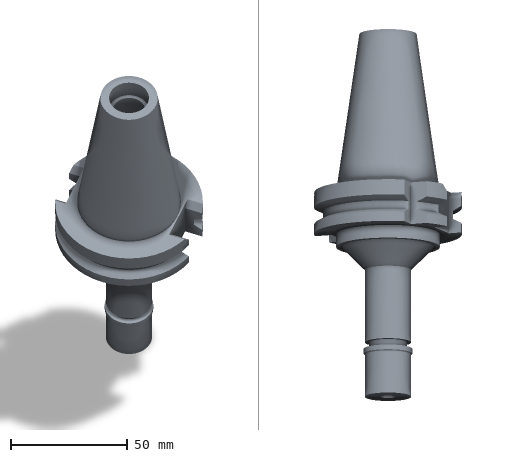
import cadquery as cq

TOTAL_HEIGHT = 158.4

TAPER_BASE_DIAMETER = 44.5
TAPER_BASE_RADIUS = TAPER_BASE_DIAMETER / 2
TAPER_TOP_RADIUS = 12.4
TAPER_BASE_Z = 90.1

FLANGE_DIAMETER = 63.5
FLANGE_RADIUS = FLANGE_DIAMETER / 2
FLANGE_BOTTOM_Z = 71.0
FLANGE_TOP_Z = 89.2
GROOVE_RADIUS = 28.0
GROOVE_FLOOR_BOTTOM_Z = 77.1
GROOVE_FLOOR_TOP_Z = 80.6
GROOVE_FLARE = 1.9
KEYSLOT_WIDTH = 15.8
KEYSLOT_CHAMFER = 2.9
KEYSLOT_LEFT_FLOOR = 25.0
KEYSLOT_RIGHT_FLOOR = 22.8
NOTCH_X = 18.4
NOTCH_Y = 18.5

COLLAR_BOTTOM_Z = 65.4
CONE_TOP_RADIUS = 19.8
SHAFT_RADIUS = 10.0
SHAFT_TOP_Z = 55.5
SHAFT_BOTTOM_Z = 23.8
NOSE_RADIUS = 8.0

COUNTERBORE_RADIUS = 8.5
COUNTERBORE_DEPTH = 8.2
DRAWBAR_BORE_RADIUS = 7.0
DRAWBAR_BORE_DEPTH = 42.8
COOLANT_BORE_RADIUS = 3.2

NUT_HEIGHT = 20.9
NUT_RADIUS = SHAFT_RADIUS
NUT_RIM_RADIUS = 10.5
NUT_RIM_HEIGHT = 2.5
NUT_LIP = 3.2

COLLET_RADIUS = 5.0
COLLET_LENGTH = 25.0
COLLET_BORE_RADIUS = 3.0


def cylinder(radius, bottom_z, top_z):
    """Upright cylinder on the Z axis."""
    return cq.Workplane("XY").workplane(offset=bottom_z).circle(radius).extrude(top_z - bottom_z)


def holder_blank():
    """Turned outside of the holder, solid inside."""
    profile = [
        (0, NUT_LIP),
        (NOSE_RADIUS, NUT_LIP),
        (NOSE_RADIUS, SHAFT_BOTTOM_Z),
        (SHAFT_RADIUS, SHAFT_BOTTOM_Z),
        (SHAFT_RADIUS, SHAFT_TOP_Z),
        (CONE_TOP_RADIUS, COLLAR_BOTTOM_Z),
        (TAPER_BASE_RADIUS, COLLAR_BOTTOM_Z),
        (TAPER_BASE_RADIUS, FLANGE_BOTTOM_Z),
        (FLANGE_RADIUS, FLANGE_BOTTOM_Z),
        (FLANGE_RADIUS, GROOVE_FLOOR_BOTTOM_Z - GROOVE_FLARE),
        (GROOVE_RADIUS, GROOVE_FLOOR_BOTTOM_Z),
        (GROOVE_RADIUS, GROOVE_FLOOR_TOP_Z),
        (FLANGE_RADIUS, GROOVE_FLOOR_TOP_Z + GROOVE_FLARE),
        (FLANGE_RADIUS, FLANGE_TOP_Z),
        (TAPER_BASE_RADIUS, FLANGE_TOP_Z),
        (TAPER_BASE_RADIUS, TAPER_BASE_Z),
        (TAPER_TOP_RADIUS, TOTAL_HEIGHT),
        (0, TOTAL_HEIGHT),
    ]
    return cq.Workplane("XZ").polyline(profile).close().revolve(360, (0, 0), (0, 1))


def keyslot(floor_distance, side):
    """Cutter for one drive slot through the flange, flared at the top; side is -1 or +1 along X."""
    half_width = KEYSLOT_WIDTH / 2
    flared_half_width = half_width + KEYSLOT_CHAMFER
    section = [
        (-half_width, FLANGE_BOTTOM_Z),
        (half_width, FLANGE_BOTTOM_Z),
        (half_width, FLANGE_TOP_Z - KEYSLOT_CHAMFER),
        (flared_half_width, FLANGE_TOP_Z),
        (-flared_half_width, FLANGE_TOP_Z),
        (-half_width, FLANGE_TOP_Z - KEYSLOT_CHAMFER),
    ]
    reach = FLANGE_RADIUS - floor_distance
    return (
        cq.Workplane("YZ").workplane(offset=side * floor_distance)
        .polyline(section).close().extrude(side * reach)
    )


def corner_notch():
    """Square-cornered cutter that removes the -X, +Y edge of the flange."""
    return cq.Workplane("XY").box(
        FLANGE_RADIUS, FLANGE_RADIUS, FLANGE_TOP_Z - FLANGE_BOTTOM_Z, centered=False
    ).translate((-NOTCH_X - FLANGE_RADIUS, NOTCH_Y, FLANGE_BOTTOM_Z))


def make_holder():
    """Taper holder with its flange cuts, stepped bore and collet seat."""
    holder = holder_blank()
    holder = holder.cut(keyslot(KEYSLOT_LEFT_FLOOR, -1))
    holder = holder.cut(keyslot(KEYSLOT_RIGHT_FLOOR, 1))
    holder = holder.cut(corner_notch())
    holder = holder.cut(cylinder(COUNTERBORE_RADIUS, TOTAL_HEIGHT - COUNTERBORE_DEPTH, TOTAL_HEIGHT))
    holder = holder.cut(cylinder(DRAWBAR_BORE_RADIUS, TOTAL_HEIGHT - DRAWBAR_BORE_DEPTH, TOTAL_HEIGHT))
    holder = holder.cut(cylinder(COOLANT_BORE_RADIUS, 0, TOTAL_HEIGHT))
    return holder.cut(cylinder(COLLET_RADIUS, 0, COLLET_LENGTH))


def make_nut():
    """Cap nut that fits over the holder nose, with a raised rim, chamfered below, at its upper end."""
    nut = cylinder(NUT_RADIUS, 0, NUT_HEIGHT)
    rim = cylinder(NUT_RIM_RADIUS, NUT_HEIGHT - NUT_RIM_HEIGHT, NUT_HEIGHT)
    rim = rim.faces("<Z").edges().chamfer(NUT_RIM_RADIUS - NUT_RADIUS)
    nut = nut.union(rim)
    nut = nut.cut(cylinder(NOSE_RADIUS, NUT_LIP, NUT_HEIGHT))
    return nut.cut(cylinder(COLLET_RADIUS, 0, NUT_LIP))


def make_collet():
    """Straight sleeve seated in the holder nose and flush with the nut face."""
    collet = cylinder(COLLET_RADIUS, 0, COLLET_LENGTH)
    return collet.cut(cylinder(COLLET_BORE_RADIUS, 0, COLLET_LENGTH))


holder = make_holder()
nut = make_nut()
collet = make_collet()

result = cq.Compound.makeCompound([holder.val(), nut.val(), collet.val()])